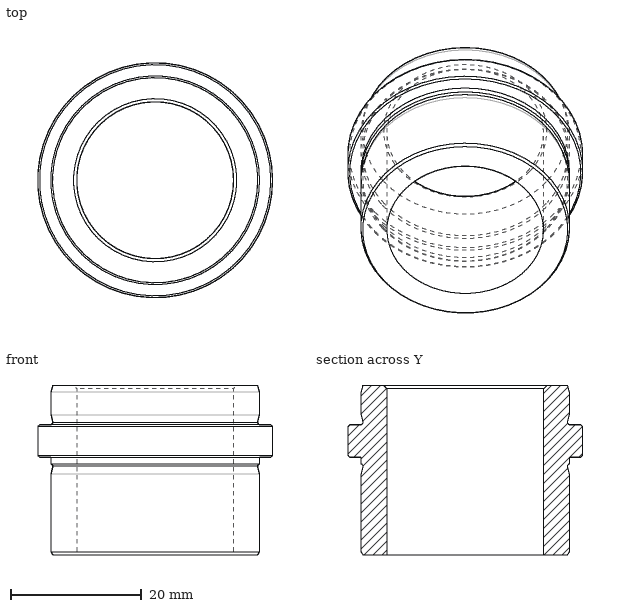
import cadquery as cq
import math

total_height = 26.0
body_radius = 16.0
bore_radius = 12.0
bore_chamfer = 0.5

flange_radius = 18.0
flange_height = 5.0
flange_chamfer = 0.3
nose_height = 6.0

groove_depth = 0.3
groove_length = 1.5
land_height = 1.0

top_taper_height = 1.0
top_taper_angle = 15
top_taper_width = top_taper_height * math.tan(math.radians(top_taper_angle))
bottom_taper_height = 0.5
bottom_taper_angle = 30
bottom_taper_width = bottom_taper_height * math.tan(math.radians(bottom_taper_angle))

flange_top = total_height - nose_height
flange_bottom = flange_top - flange_height


def ring(radius, bottom, top):
    """Solid disc of the given radius between two heights."""
    return cq.Workplane("XY").workplane(offset=bottom).circle(radius).extrude(top - bottom)


def relief_groove(start, direction):
    """Ring-shaped cutter starting at a height and running up (+1) or down (-1)."""
    groove_radius = body_radius - groove_depth
    profile = [
        (body_radius, start),
        (groove_radius, start + direction * groove_depth),
        (body_radius, start + direction * groove_length),
    ]
    return cq.Workplane("XZ").polyline(profile).close().revolve(360, (0, 0), (0, 1))


def tapered_body():
    """Plain cylinder with a lead-in taper at each end."""
    profile = [
        (0, 0),
        (body_radius - bottom_taper_width, 0),
        (body_radius, bottom_taper_height),
        (body_radius, total_height - top_taper_height),
        (body_radius - top_taper_width, total_height),
        (0, total_height),
    ]
    return cq.Workplane("XZ").polyline(profile).close().revolve(360, (0, 0), (0, 1))


body = tapered_body()
body = body.cut(relief_groove(flange_top, 1))
body = body.cut(relief_groove(flange_bottom - land_height, -1))

flange = ring(flange_radius, flange_bottom, flange_top).edges().chamfer(flange_chamfer)
bush = body.union(flange)

bush = bush.cut(ring(bore_radius, 0, total_height))
bore_mouth = cq.selectors.RadiusNthSelector(0)
result = bush.faces(">Z").edges(bore_mouth).chamfer(bore_chamfer)